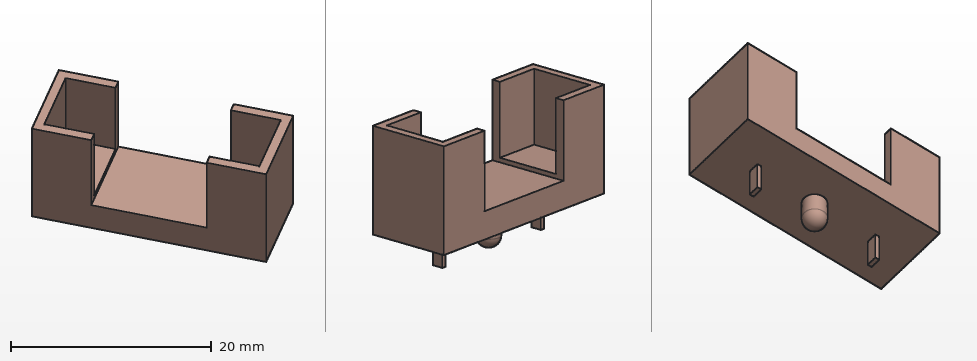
import cadquery as cq

length = 24.4
width = 9.4
total_height = 15.0
pin_length = 3.5
body_height = total_height - pin_length
wall = 1.0
gap_length = 12.0
bridge_height = 3.0
floor_step = 0.5
cup_floor = bridge_height + floor_step
cup_length = (length - gap_length) / 2

pin_spacing = 15.0
pin_thickness = 0.5
pin_width = 1.25
post_diameter = 2.6
post_radius = post_diameter / 2


def block(size_x, size_y, size_z, center_x, bottom_z):
    """Box centred on the XZ plane, standing on bottom_z."""
    box = cq.Workplane("XY").box(size_x, size_y, size_z, centered=(True, True, False))
    return box.translate((center_x, 0, bottom_z))


def housing():
    body = block(length, width, body_height, 0, 0)
    body = body.cut(block(gap_length, width, body_height - bridge_height, 0, bridge_height))
    pocket_length = cup_length - wall
    pocket_center = (gap_length + pocket_length) / 2
    for side in (-1, 1):
        pocket = block(
            pocket_length, width - 2 * wall, body_height - cup_floor, side * pocket_center, cup_floor
        )
        body = body.cut(pocket)
    return body


def locating_post():
    """Round post with a hemispherical tip level with the pin ends."""
    shank_end = post_radius - pin_length
    return (
        cq.Workplane("XZ")
        .lineTo(post_radius, 0)
        .lineTo(post_radius, shank_end)
        .radiusArc((0, -pin_length), post_radius)
        .close()
        .revolve(360, (0, 0, 0), (0, 1, 0))
    )


result = housing().union(locating_post())
for side in (-1, 1):
    pin = block(pin_thickness, pin_width, pin_length, side * pin_spacing / 2, -pin_length)
    result = result.union(pin)